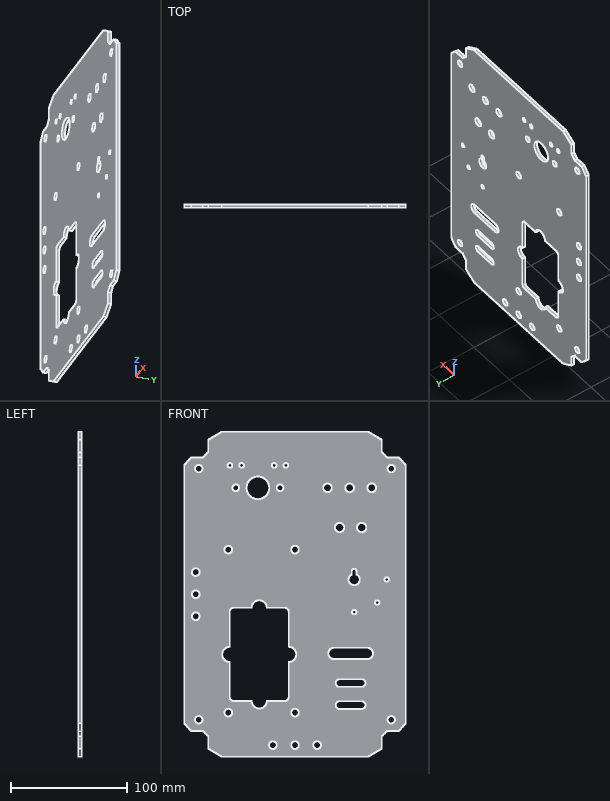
import cadquery as cq

height = 279.5
width = 190.5
thickness = 3.0
half_height = height / 2
half_width = width / 2

tongue_half_width = 74.5
tongue_chamfer_x = 11.7
tongue_chamfer_z = 7.0
shoulder_z = 117.5
shoulder_chamfer_x = 6.1
shoulder_chamfer_z = 6.7
inner_chamfer = 4.5

row_spacing = 19.0
screw_diameter = 6.5
corner_diameter = 6.1
upper_switch_diameter = 7.3
lower_switch_diameter = 7.8
flange_diameter = 5.5
pin_diameter = 4.0
index_diameter = 3.5

corner_x = 82.7
corner_z = 107.8
bottom_row_z = -129.6
bottom_row_count = 3
side_column_x = -85.2
mount_left_x = -57.3
mount_right_x = 0.0
mount_top_z = 38.3
mount_bottom_z = -101.7

connector_x = -31.9
connector_z = 91.5
connector_diameter = 19.3
flange_half_spacing = row_spacing
pin_z = 110.6
pin_half_spacing = 5.0

upper_switch_x = 28.0
upper_switch_z = connector_z
upper_switch_count = 3
lower_switch_x = 38.3
lower_switch_count = 2
lower_switch_z = 57.3

window_x = -30.7
window_z = -51.7
window_width = 50.5
window_height = 80.0
window_corner_radius = 3.4
relief_diameter = 12.9

slot_x = 47.8
wide_slot_z = -50.9
wide_slot_length = 38.3
wide_slot_width = 9.5
narrow_slot_top_z = -76.3
narrow_slot_count = 2
narrow_slot_length = 25.5
narrow_slot_width = 6.5

keyhole_x = 50.9
keyhole_z = 12.5
keyhole_diameter = 9.5
keyhole_neck_width = 4.0
keyhole_neck_rise = 7.3
index_radius = 28.0
index_start_angle = -90
index_step = 45
index_count = 3


def front_plane():
    """XZ work plane at mid thickness, drawn with X to the right and Z up."""
    return cq.Workplane("XZ")


def through(sketch):
    """Extrude a closed profile through the whole plate thickness."""
    return sketch.extrude(thickness / 2, both=True)


def holes(points, diameter):
    return through(front_plane().pushPoints(points).circle(diameter / 2))


def row(first_x, z, count):
    """Points of a horizontal row at the common hole spacing."""
    return [(first_x + i * row_spacing, z) for i in range(count)]


def slot(x, z, length, slot_width, angle=0):
    return through(front_plane().center(x, z).slot2D(length, slot_width, angle))


def plate():
    corner = [
        (half_width, shoulder_z - shoulder_chamfer_z),
        (half_width - shoulder_chamfer_x, shoulder_z),
        (tongue_half_width + inner_chamfer, shoulder_z),
        (tongue_half_width, shoulder_z + inner_chamfer),
        (tongue_half_width, half_height - tongue_chamfer_z),
        (tongue_half_width - tongue_chamfer_x, half_height),
    ]
    top = corner + [(-x, z) for x, z in reversed(corner)]
    bottom = [(-x, -z) for x, z in top]
    return through(front_plane().polyline(top + bottom).close())


def mounting_holes():
    corners = [(sx * corner_x, sz * corner_z) for sx in (-1, 1) for sz in (-1, 1)]
    mounts = [(x, z) for x in (mount_left_x, mount_right_x) for z in (mount_top_z, mount_bottom_z)]
    bottom_row = row(-row_spacing, bottom_row_z, bottom_row_count)
    side_column = [(side_column_x, i * row_spacing) for i in (-1, 0, 1)]
    screws = holes(mounts + bottom_row + side_column, screw_diameter)
    return screws.union(holes(corners, corner_diameter))


def connector_holes():
    flange = [(connector_x + side * flange_half_spacing, connector_z) for side in (-1, 1)]
    pins = [
        (connector_x + side * flange_half_spacing + offset, pin_z)
        for side in (-1, 1)
        for offset in (-pin_half_spacing, pin_half_spacing)
    ]
    cut = holes([(connector_x, connector_z)], connector_diameter)
    return cut.union(holes(flange, flange_diameter)).union(holes(pins, pin_diameter))


def switch_holes():
    upper = row(upper_switch_x, upper_switch_z, upper_switch_count)
    lower = row(lower_switch_x, lower_switch_z, lower_switch_count)
    return holes(upper, upper_switch_diameter).union(holes(lower, lower_switch_diameter))


def window():
    opening = through(front_plane().center(window_x, window_z).rect(window_width, window_height))
    opening = opening.edges("|Y").fillet(window_corner_radius)
    reliefs = [(window_x, window_z + side * window_height / 2) for side in (-1, 1)]
    reliefs += [(window_x + side * window_width / 2, window_z) for side in (-1, 1)]
    return opening.union(holes(reliefs, relief_diameter))


def slots():
    cut = slot(slot_x, wide_slot_z, wide_slot_length, wide_slot_width)
    for i in range(narrow_slot_count):
        z = narrow_slot_top_z - i * row_spacing
        cut = cut.union(slot(slot_x, z, narrow_slot_length, narrow_slot_width))
    return cut


def keyhole():
    neck_length = keyhole_neck_rise + keyhole_neck_width
    neck_z = keyhole_z + keyhole_neck_rise / 2
    neck = slot(keyhole_x, neck_z, neck_length, keyhole_neck_width, 90)
    return holes([(keyhole_x, keyhole_z)], keyhole_diameter).union(neck)


def index_holes():
    arc = front_plane().center(keyhole_x, keyhole_z)
    arc = arc.polarArray(index_radius, index_start_angle, index_step, index_count, fill=False)
    return through(arc.circle(index_diameter / 2))


result = plate()
for feature in (mounting_holes, connector_holes, switch_holes, window, slots, keyhole, index_holes):
    result = result.cut(feature())